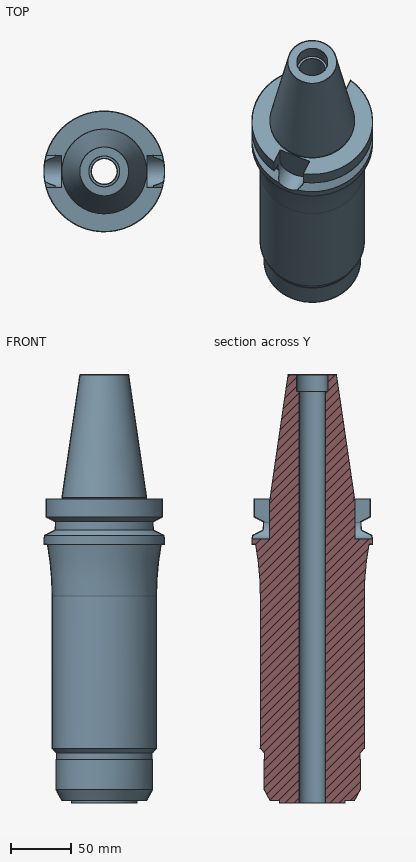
import cadquery as cq
import math

total_length = 354.2
taper_base_z = 252.5
flange_top_z = 251.5
groove_upper_rim_z = 236.5
groove_upper_z = 232.7
groove_lower_z = 225.5
groove_lower_rim_z = 221.5
flange_bottom_z = 214.0
flare_bottom_z = 171.0
body_bottom_z = 45.5
nut_top_z = 41.5
nut_joint_z = 36.0
nut_chamfer_z = 11.5
nose_step_z = 2.0

taper_small_radius = 20.2
taper_large_radius = 35.0
neck_radius = 34.0
flange_radius = 50.0
groove_radius = 42.5
flare_radius = 47.0
body_radius = 43.2
nut_radius = 40.0
nut_neck_radius = 39.5
nut_end_radius = 35.0
nose_radius = 27.3

bore_radius = 10.5
mouth_radius = 12.8
mouth_depth = 13.8

slot_width = 26.5
slot_bottom_z = 218.5
slot_floor_x = 35.5


def flare_arc_midpoint():
    """Middle of the flare arc, which runs tangent into the straight body."""
    rise = flange_bottom_z - flare_bottom_z
    spread = flare_radius - body_radius
    arc_radius = (rise**2 + spread**2) / (2 * spread)
    half_angle = math.asin(rise / arc_radius) / 2
    return (
        body_radius + arc_radius * (1 - math.cos(half_angle)),
        flare_bottom_z + arc_radius * math.sin(half_angle),
    )


def make_body():
    """Turned holder, from the nose up to the tip of the taper."""
    return (
        cq.Workplane("XZ")
        .moveTo(0, 0)
        .lineTo(nose_radius, 0)
        .lineTo(nose_radius, nose_step_z)
        .lineTo(nut_end_radius, nose_step_z)
        .lineTo(nut_radius, nut_chamfer_z)
        .lineTo(nut_radius, nut_joint_z)
        .lineTo(nut_neck_radius, nut_joint_z)
        .lineTo(nut_neck_radius, nut_top_z)
        .lineTo(body_radius, body_bottom_z)
        .lineTo(body_radius, flare_bottom_z)
        .threePointArc(flare_arc_midpoint(), (flare_radius, flange_bottom_z))
        .lineTo(flange_radius, flange_bottom_z)
        .lineTo(flange_radius, groove_lower_rim_z)
        .lineTo(groove_radius, groove_lower_z)
        .lineTo(groove_radius, groove_upper_z)
        .lineTo(flange_radius, groove_upper_rim_z)
        .lineTo(flange_radius, flange_top_z)
        .lineTo(neck_radius, flange_top_z)
        .lineTo(taper_large_radius, taper_base_z)
        .lineTo(taper_small_radius, total_length)
        .lineTo(0, total_length)
        .close()
        .revolve(360, (0, 0), (0, 1))
    )


def make_bore():
    """Through bore with a counterbored mouth at the taper tip."""
    return (
        cq.Workplane("XZ")
        .lineTo(bore_radius, 0)
        .lineTo(bore_radius, total_length - mouth_depth)
        .lineTo(mouth_radius, total_length - mouth_depth)
        .lineTo(mouth_radius, total_length)
        .lineTo(0, total_length)
        .close()
        .revolve(360, (0, 0), (0, 1))
    )


def make_drive_slot(side):
    """Round-bottomed slot, open at the flange top; side is +1 or -1 along X."""
    half_width = slot_width / 2
    arc_center_z = slot_bottom_z + half_width
    return (
        cq.Workplane("YZ", origin=(side * slot_floor_x, 0, 0))
        .moveTo(-half_width, flange_top_z)
        .lineTo(-half_width, arc_center_z)
        .threePointArc((0, slot_bottom_z), (half_width, arc_center_z))
        .lineTo(half_width, flange_top_z)
        .close()
        .extrude(side * flange_radius)
    )


result = make_body().cut(make_bore())
for side in (-1, 1):
    result = result.cut(make_drive_slot(side))